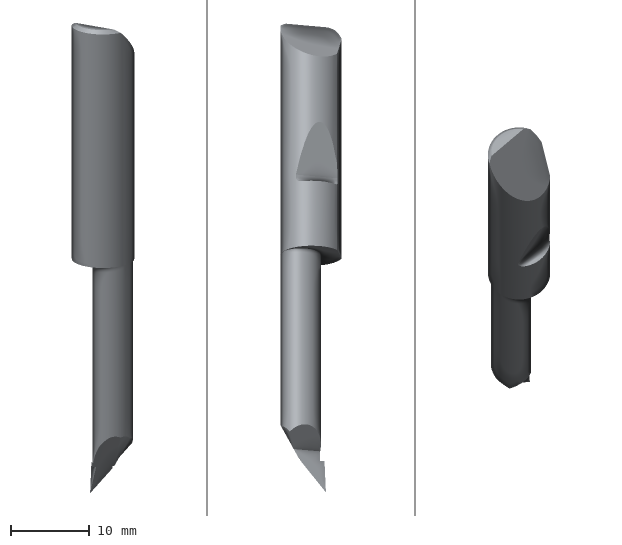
import cadquery as cq

total_height = 63.15
shank_radius = 4.0
shank_bottom = 31.6
top_chamfer = 0.45
bevel_start_y = -2.15
side_flat_start = (-shank_radius, 0.0)
side_flat_end_y = 3.1

notch_top = 48.25
notch_deep_z = 41.3
notch_bottom = 40.3
notch_floor_y = 2.8
notch_corner_radius = 0.6

neck_radius = 2.56
neck_x = shank_radius - neck_radius
rake_bevel_z = 5.4

tip = (-1.9, 0.0, 0.0)
tooth_height = 4.15
tooth_side_lean = 0.2
tooth_side_end = (-0.2, -1.4)

flank_slope_x = 1.17
flank_slope_y = 1.56
heel_x = 1.6
heel_point = (heel_x, 0.0, flank_slope_x * (heel_x - tip[0]))
heel_slope_x = 1.74
heel_slope_y = 0.86
side_relief_normal = (1.0, -1.8, -1.0)
cutter_size = 126.3


def cut_beyond(body, point, normal):
    """Remove everything on the side of a plane that its normal points to."""
    plane = cq.Plane(origin=point, normal=normal)
    return body.cut(cq.Workplane(plane).rect(cutter_size, cutter_size).extrude(cutter_size))


def make_shank():
    shank = (
        cq.Workplane("XY", origin=(0, 0, shank_bottom))
        .circle(shank_radius)
        .extrude(total_height - shank_bottom)
        .faces(">Z")
        .chamfer(top_chamfer)
    )
    shank = cut_beyond(shank, (0, bevel_start_y, total_height), (0, 1, 1))

    flat_end_x = -((shank_radius**2 - side_flat_end_y**2) ** 0.5)
    chord_x = flat_end_x - side_flat_start[0]
    chord_y = side_flat_end_y - side_flat_start[1]
    shank = cut_beyond(shank, (*side_flat_start, shank_bottom), (-chord_y, chord_x, 0))

    notch = (
        cq.Workplane("YZ")
        .moveTo(shank_radius, notch_top)
        .lineTo(notch_floor_y, notch_deep_z)
        .lineTo(notch_floor_y, notch_bottom + notch_corner_radius)
        .radiusArc((notch_floor_y + notch_corner_radius, notch_bottom), -notch_corner_radius)
        .lineTo(shank_radius, notch_bottom)
        .close()
        .extrude(shank_radius, both=True)
    )
    return shank.cut(notch)


def make_tooth():
    slant_x = tooth_side_end[0] - tip[0] - tooth_side_lean
    side_slope = slant_x / -tooth_side_end[1]
    block = cq.Workplane("XY").box(
        neck_x - tip[0], neck_radius, tooth_height, centered=False
    ).translate((tip[0], -neck_radius, 0))
    return cut_beyond(block, tip, (-1, -side_slope, tooth_side_lean / tooth_height))


def make_neck():
    neck = (
        cq.Workplane("XY", origin=(neck_x, 0, tooth_height))
        .circle(neck_radius)
        .extrude(shank_bottom - tooth_height)
    )

    rake_cutter = (
        cq.Workplane("YZ")
        .polyline([
            (0, 0),
            (cutter_size, 0),
            (cutter_size, rake_bevel_z + cutter_size),
            (0, rake_bevel_z),
        ])
        .close()
        .extrude(cutter_size, both=True)
    )
    neck = neck.cut(rake_cutter).union(make_tooth())

    neck = cut_beyond(neck, tip, (flank_slope_x, -flank_slope_y, -1))
    neck = cut_beyond(neck, heel_point, (heel_slope_x, -heel_slope_y, -1))
    neck = cut_beyond(neck, heel_point, (heel_slope_x, 0, -1))
    return cut_beyond(neck, tip, side_relief_normal)


result = make_shank().union(make_neck())